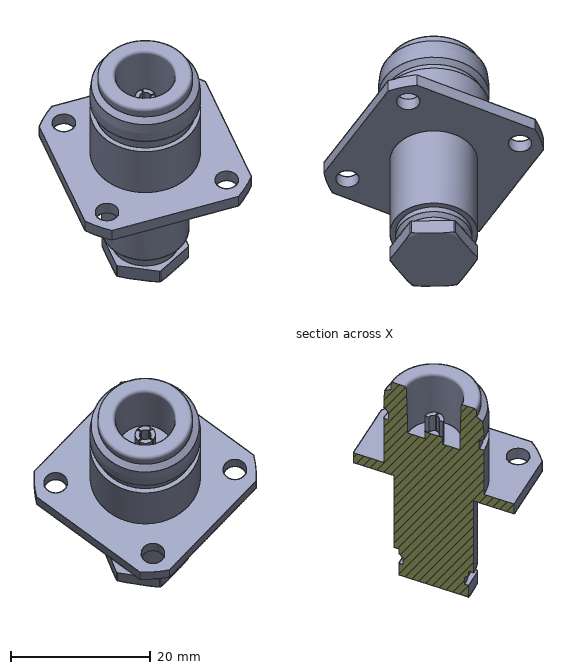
import cadquery as cq
import math

height = 38.22

flange_side = 25.4
flange_corner_radius = 15.98
flange_bottom = 19.55
flange_thickness = 2.05
hole_radius = 1.7
hole_spacing = 18.27

barrel_radius = 7.95
barrel_top = 30.45
relief_radius = 7.22
relief_top = 31.9
thread_bottom = relief_top + barrel_radius - relief_radius
taper_bottom = 34.35
taper_radius = 7.75
taper_top = 36.08
shoulder_top = 36.7
nose_radius = 6.8
nose_fillet = 0.5

lower_radius = 6.3
lower_bottom = 5.2
collar_radius = 5.5
collar_bottom = 4.28
neck_radius = 4.93
neck_top = collar_bottom - (collar_radius - neck_radius)

hex_across_flats = 11.05
hex_height = 2.45
hex_rim_radius = 5.75
hex_rim_height = 0.15

bore_mouth_radius = 4.3
bore_floor_radius = 4.1
bore_mouth_fillet = 0.5
bore_depth = 9.17

contact_radius = 1.45
contact_hole_radius = 0.8
contact_tip_depth = 4.78
contact_slot_width = 0.2
contact_slot_depth = 3.05


def turned(outline):
    """Revolve a list of (radius, z) points, closed along the axis, about Z."""
    on_axis = [(0, outline[0][1])] + outline + [(0, outline[-1][1])]
    return cq.Workplane("XZ").polyline(on_axis).close().revolve(360, (0, 0, 0), (0, 1, 0))


def cylinder(radius, bottom, length):
    return cq.Workplane("XY").workplane(offset=bottom).circle(radius).extrude(length)


def make_barrels():
    body = turned([
        (neck_radius, hex_height),
        (neck_radius, neck_top),
        (collar_radius, collar_bottom),
        (collar_radius, lower_bottom),
        (lower_radius, lower_bottom),
        (lower_radius, flange_bottom),
        (barrel_radius, flange_bottom),
        (barrel_radius, barrel_top),
        (relief_radius, barrel_top),
        (relief_radius, relief_top),
        (barrel_radius, thread_bottom),
        (barrel_radius, taper_bottom),
        (taper_radius, taper_top),
        (nose_radius, shoulder_top),
        (nose_radius, height),
    ])
    return body.faces(">Z").edges().fillet(nose_fillet)


def make_flange():
    plate = (
        cq.Workplane("XY")
        .workplane(offset=flange_bottom)
        .rect(flange_side, flange_side)
        .extrude(flange_thickness)
    )
    plate = plate.intersect(cylinder(flange_corner_radius, flange_bottom, flange_thickness))
    holes = (
        cq.Workplane("XY")
        .workplane(offset=flange_bottom)
        .rect(hole_spacing, hole_spacing, forConstruction=True)
        .vertices()
        .circle(hole_radius)
        .extrude(flange_thickness)
    )
    return plate.cut(holes)


def make_hex():
    across_corners = hex_across_flats / math.cos(math.pi / 6)
    prism = cq.Workplane("XY").polygon(6, across_corners).extrude(hex_height)
    trim = turned([
        (hex_rim_radius, 0),
        (lower_radius, hex_rim_height),
        (lower_radius, hex_height),
    ])
    return prism.intersect(trim)


def make_bore():
    return turned([
        (bore_floor_radius, height - bore_depth),
        (bore_mouth_radius, height),
    ])


def make_contact():
    tip = height - contact_tip_depth
    floor = height - bore_depth
    slot_bottom = tip - contact_slot_depth
    contact = cylinder(contact_radius, floor, tip - floor)
    contact = contact.cut(cylinder(contact_hole_radius, slot_bottom, contact_slot_depth))
    for length_x, length_y in (
        (2 * contact_radius, contact_slot_width),
        (contact_slot_width, 2 * contact_radius),
    ):
        slot = (
            cq.Workplane("XY")
            .workplane(offset=slot_bottom)
            .rect(length_x, length_y)
            .extrude(contact_slot_depth)
        )
        contact = contact.cut(slot)
    return contact


shell = make_barrels().union(make_flange()).union(make_hex()).cut(make_bore())
smallest_circle = cq.selectors.RadiusNthSelector(0)
shell = shell.faces(">Z").edges(smallest_circle).fillet(bore_mouth_fillet)
result = shell.union(make_contact())